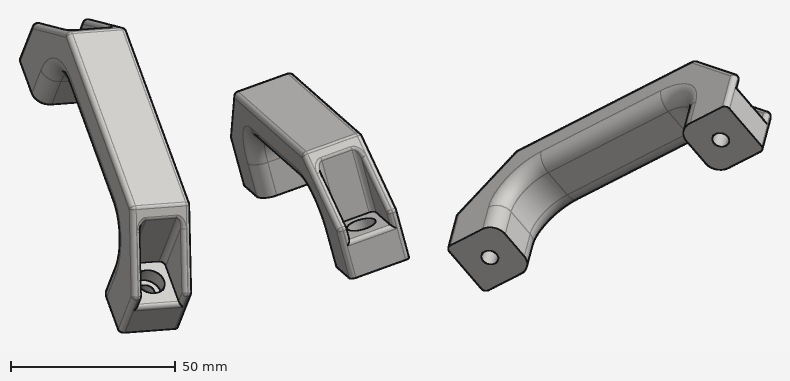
import cadquery as cq

length = 108.2
width = 19.7
height = 36.6
lean_angle = 15.0
shoulder_run = 19.7
shoulder_drop = 20.0
outer_radius = 1.6

leg_width = 19.0
bar_thickness = 13.4
grip_corner_radius = 11.9
grip_edge_radius = 5.0

pocket_floor = 12.1
pocket_depth = 17.0
pocket_wall = 3.1
pocket_corner_radius = 1.7
pocket_rim_radius = 1.4

hole_inset = 9.5
hole_diameter = 5.2
counterbore_diameter = 9.0
counterbore_depth = 4.9

half_length = length / 2
overcut = 1.1
selection_margin = 0.1


def outer_body():
    """Solid trapezoid-shouldered block with every edge above the base rounded."""
    shoulder_z = height - shoulder_drop
    top_x = half_length - shoulder_run
    block = (
        cq.Workplane("XZ")
        .polyline([
            (-half_length, 0),
            (-half_length, shoulder_z),
            (-top_x, height),
            (top_x, height),
            (half_length, shoulder_z),
            (half_length, 0),
        ])
        .close()
        .extrude(width / 2, both=True)
    )
    return block.edges("not(<Z)").fillet(outer_radius)


def grip_cutter():
    """Window between the legs with rounded upper corners."""
    opening_height = height - bar_thickness
    opening_length = length - 2 * leg_width
    return (
        cq.Workplane("XY")
        .box(opening_length, width, opening_height + overcut, centered=(True, True, False))
        .translate((0, 0, -overcut))
        .edges("|Y and >Z")
        .fillet(grip_corner_radius)
    )


def round_grip_edges(body):
    """Round the front and back edges of the grip window."""
    inner_x = half_length - leg_width
    edge_region = cq.selectors.BoxSelector(
        (-inner_x - overcut, -width, overcut),
        (inner_x + overcut, width, height - bar_thickness + overcut),
    )
    return body.faces("<Y or >Y").edges(edge_region).fillet(grip_edge_radius)


def pocket_cutter(side):
    """Screw pocket open to the end face and shoulder; side is -1 or 1."""
    cutter_length = pocket_depth + overcut
    center_x = side * (half_length + overcut - cutter_length / 2)
    back_edges = "|Z and >X" if side < 0 else "|Z and <X"
    return (
        cq.Workplane("XY")
        .box(cutter_length, width - 2 * pocket_wall, height, centered=(True, True, False))
        .edges(back_edges)
        .fillet(pocket_corner_radius)
        .translate((center_x, 0, pocket_floor))
    )


def round_pocket_rim(body, side):
    """Round the pocket mouth on the sloped shoulder and on the end face."""
    mouth_half_width = width / 2 - pocket_wall + selection_margin
    inner_x = side * (half_length - pocket_depth - selection_margin)
    outer_x = side * (half_length + overcut)
    mouth_region = cq.selectors.BoxSelector(
        (min(inner_x, outer_x), -mouth_half_width, pocket_floor - selection_margin),
        (max(inner_x, outer_x), mouth_half_width, height),
    )
    end_face = "<X" if side < 0 else ">X"
    shoulder = cq.selectors.DirectionMinMaxSelector(cq.Vector(side, 0, 1), True)
    mouth_faces = body.faces(shoulder).add(body.faces(end_face))
    return mouth_faces.edges(mouth_region).fillet(pocket_rim_radius)


def screw_hole_cutter(side):
    """Through hole with a counterbore in the pocket floor."""
    center_x = side * (half_length - hole_inset)
    hole = cq.Workplane("XY").circle(hole_diameter / 2).extrude(pocket_floor)
    counterbore = (
        cq.Workplane("XY", origin=(0, 0, pocket_floor - counterbore_depth))
        .circle(counterbore_diameter / 2)
        .extrude(counterbore_depth)
    )
    return hole.union(counterbore).translate((center_x, 0, 0))


handle = round_grip_edges(outer_body().cut(grip_cutter()))

for end in (-1, 1):
    handle = round_pocket_rim(handle.cut(pocket_cutter(end)), end)
    handle = handle.cut(screw_hole_cutter(end))

result = handle.rotate((0, 0, 0), (1, 0, 0), -lean_angle)